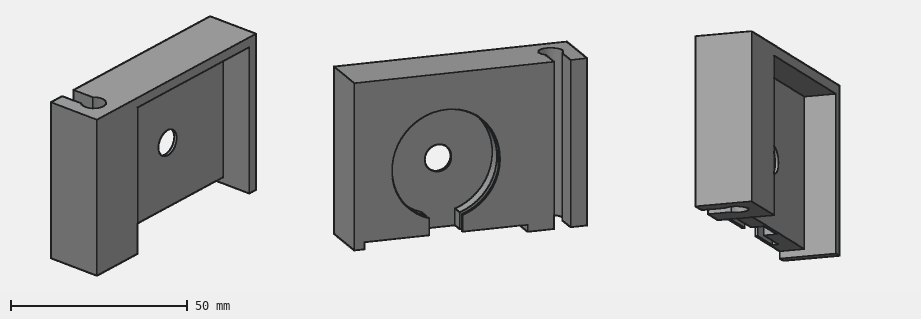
import cadquery as cq

thickness = 17.0
length = 70.0
height = 49.5

channel_y = 7.5
channel_bore_x = 9.5
channel_bore_diameter = 7.0
channel_mouth_width = 5.0

pocket_wall = 3.1
pocket_width = 49.0
pocket_y = length - pocket_wall - pocket_width / 2
pocket_top = height - pocket_wall

relief_height = 2.1

recess_z = 22.55
recess_diameter = 32.5
recess_depth = 6.5
exit_slot_width = 10.1
centre_hole_diameter = 8.0

web_thickness = 1.0
pocket_depth = thickness - recess_depth - web_thickness

lip_thickness = 0.8
groove_back_x = 2.65
groove_width = 33.2
groove_top = recess_z + groove_width / 2


def box_between(x_range, y_centre, width, z_range):
    """Box centred on y_centre, spanning the given X and Z ranges."""
    x_start, x_end = x_range
    z_start, z_end = z_range
    return cq.Workplane("XY").box(
        x_end - x_start, width, z_end - z_start, centered=(False, True, False)
    ).translate((x_start, y_centre, z_start))


def cylinder_along_x(diameter, depth):
    """Cylinder on the recess axis, starting at the X = 0 face."""
    return (
        cq.Workplane("YZ")
        .center(pocket_y, recess_z)
        .circle(diameter / 2)
        .extrude(depth)
    )


def keyhole_channel():
    bore = (
        cq.Workplane("XY")
        .center(channel_bore_x, channel_y)
        .circle(channel_bore_diameter / 2)
        .extrude(height)
    )
    mouth = box_between((0, channel_bore_x), channel_y, channel_mouth_width, (0, height))
    return bore.union(mouth)


def front_recess():
    bore = cylinder_along_x(recess_diameter, recess_depth)
    exit_slot = box_between((0, recess_depth), pocket_y, exit_slot_width, (0, recess_z))
    return bore.union(exit_slot)


block = cq.Workplane("XY").box(thickness, length, height, centered=False)
base_relief = box_between((0, thickness), pocket_y, pocket_width, (0, relief_height))
back_pocket = box_between((thickness - pocket_depth, thickness), pocket_y, pocket_width, (0, pocket_top))
plate_groove = box_between((lip_thickness, groove_back_x), pocket_y, groove_width, (0, groove_top))
centre_hole = cylinder_along_x(centre_hole_diameter, thickness)

result = (
    block.cut(keyhole_channel())
    .cut(base_relief)
    .cut(back_pocket)
    .cut(front_recess())
    .cut(plate_groove)
    .cut(centre_hole)
)